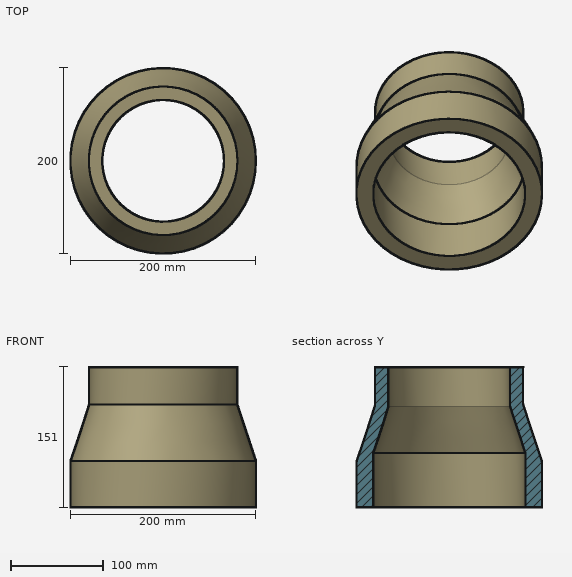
import cadquery as cq

large_diameter = 200.0
small_diameter = 160.0
large_wall = 18.2
small_wall = 14.5
total_height = 151.0

outer_large_length = 50.0
outer_small_length = 40.5
bore_large_length = 58.5
bore_small_length = 42.5


def stepped_cone(large_radius, small_radius, large_length, small_length):
    """Solid of two straight end cylinders joined by a cone."""
    return (
        cq.Workplane("XZ")
        .moveTo(0, 0)
        .lineTo(large_radius, 0)
        .lineTo(large_radius, large_length)
        .lineTo(small_radius, total_height - small_length)
        .lineTo(small_radius, total_height)
        .lineTo(0, total_height)
        .close()
        .revolve(360, (0, 0, 0), (0, 1, 0))
    )


outer_large_radius = large_diameter / 2
outer_small_radius = small_diameter / 2
bore_large_radius = outer_large_radius - large_wall
bore_small_radius = outer_small_radius - small_wall

body = stepped_cone(outer_large_radius, outer_small_radius, outer_large_length, outer_small_length)
bore = stepped_cone(bore_large_radius, bore_small_radius, bore_large_length, bore_small_length)

result = body.cut(bore)